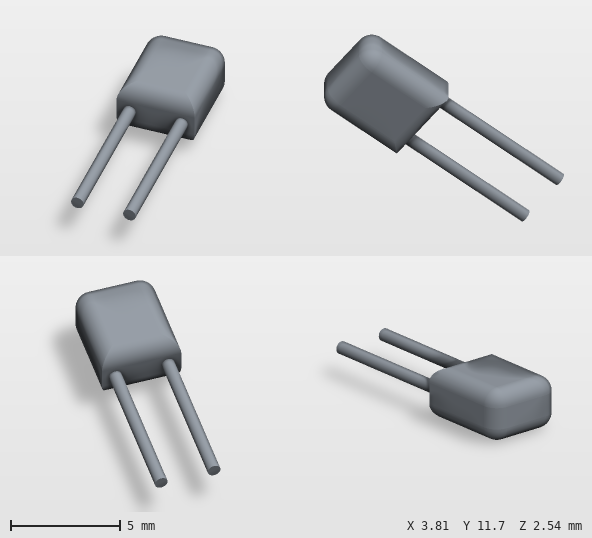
import cadquery as cq

body_width = 3.81
body_length = 4.66
body_height = 2.54
edge_radius = 0.75

lead_pitch = 2.54
lead_diameter = 0.61
lead_length = 7.0


def make_body():
    """Block with its front face at Y = 0, rounded everywhere but on the upright front edges."""
    block = cq.Workplane("XY").box(body_width, body_length, body_height, centered=(True, False, True))
    return block.edges("#Z or (|Z and >Y)").fillet(edge_radius)


def make_lead(x_position):
    """Straight round wire that starts on the front face and runs toward -Y."""
    return cq.Workplane("XZ").center(x_position, 0).circle(lead_diameter / 2).extrude(lead_length)


body = make_body()
leads = [make_lead(side * lead_pitch / 2) for side in (-1, 1)]

result = cq.Compound.makeCompound([body.val(), *[lead.val() for lead in leads]])